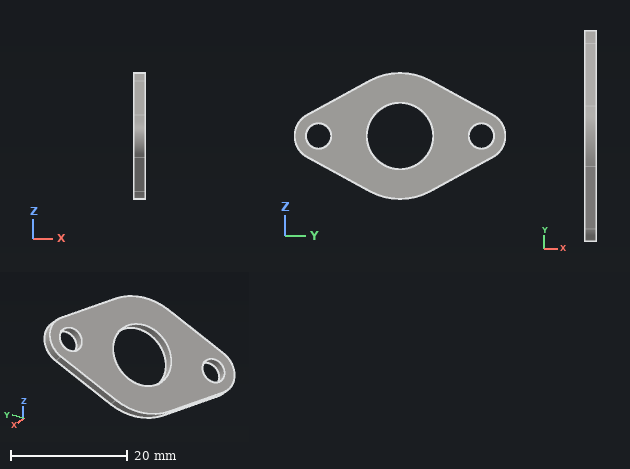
import cadquery as cq
import math

length = 36.27
thickness = 2.0
body_radius = 10.85
hole_spacing = 28.0
bore_diameter = 11.4
bolt_hole_diameter = 4.3

bolt_offset = hole_spacing / 2
end_radius = length / 2 - bolt_offset

normal_angle = math.acos((body_radius - end_radius) / bolt_offset)
normal_y = math.cos(normal_angle)
normal_z = math.sin(normal_angle)

body_y = body_radius * normal_y
body_z = body_radius * normal_z
end_y = bolt_offset + end_radius * normal_y
end_z = end_radius * normal_z


def centred_plate():
    """Rhombic flange outline in the YZ plane, extruded evenly about X = 0."""
    return (
        cq.Workplane("YZ", origin=(-thickness / 2, 0, 0))
        .moveTo(body_y, body_z)
        .lineTo(end_y, end_z)
        .threePointArc((length / 2, 0), (end_y, -end_z))
        .lineTo(body_y, -body_z)
        .threePointArc((0, -body_radius), (-body_y, -body_z))
        .lineTo(-end_y, -end_z)
        .threePointArc((-length / 2, 0), (-end_y, end_z))
        .lineTo(-body_y, body_z)
        .threePointArc((0, body_radius), (body_y, body_z))
        .close()
        .extrude(thickness)
    )


def through_holes():
    """Cutters for the central bore and the two bolt holes."""
    start_face = cq.Workplane("YZ", origin=(-thickness / 2, 0, 0))
    bore = start_face.circle(bore_diameter / 2).extrude(thickness)
    bolt_holes = (
        start_face.pushPoints([(-bolt_offset, 0), (bolt_offset, 0)])
        .circle(bolt_hole_diameter / 2)
        .extrude(thickness)
    )
    return bore.union(bolt_holes)


result = centred_plate().cut(through_holes())